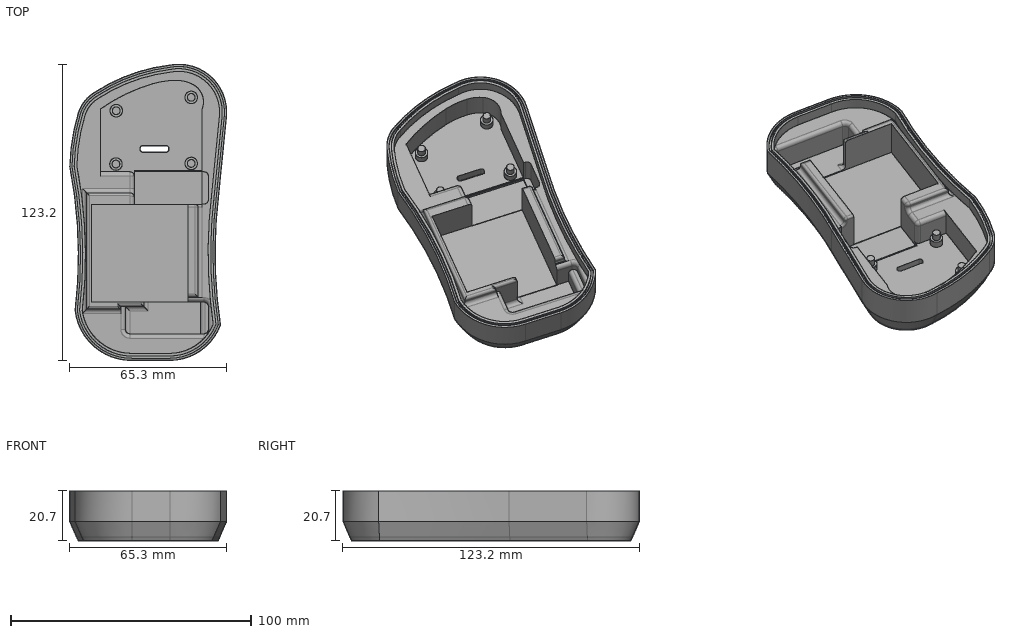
import cadquery as cq
import math

HEIGHT = 20.7
BREAK_Z = 8.0
BAND_Z = 1.5
SHELF_Z = 15.9
BOARD_FLOOR_Z = 4.1
BATTERY_FLOOR_Z = 3.0

STOCK_X = (-37, 37)
STOCK_Y = (-67.8, 67.8)
MARGIN = 0.1

TAPER_INSET = 2.8
BAND_INSET = 0.7
WALL = 3.0
GROOVE_OFFSET = 0.92
GROOVE_WIDTH = 0.92
GROOVE_DEPTH = 1.0

BATTERY_X = (-23.5, 16.5)
BATTERY_Y = (-37.3, 3.2)

RIB_X = (-25.6, 20.7)
RIB_Y = (-40.3, 8.1)
RIB_STEP_X = -11.6
RIB_STEP_Y = -39.2
RIB_END_X = -1.8
RIB_RIGHT_FRONT_Y = -35.2
RIB_HEIGHT = 3.7
RIB_ROUND = 1.2
RIB_FOOT = 1.7
RIB_END_ROUND = 1.0

BOARD_X = (-19.8, 22.4)
BOARD_FRONT_Y = 16.9
BOARD_BACK_Y = 43.0
EDGE_ROUND = 1.8

CONNECTOR_X = -5.8
CONNECTOR_FLOOR_Z = 2.7
CONNECTOR_LIP_Y = 17.4
CONNECTOR_FRONT_Y = 3.5
CONNECTOR_SIDE_X = 25.0
CONNECTOR_LIP_Z = BOARD_FLOOR_Z - 0.2
CONNECTOR_SIDE_Z = BOARD_FLOOR_Z - 0.5

FRONT_BAY_X = (-9.5, 21.7)
FRONT_BAY_Y = (-50.5, BATTERY_Y[0])
FRONT_FLOOR_Z = 3.5
FRONT_LEDGE_X = 25.0
FRONT_LEDGE_Z = 11.3
FRONT_FLOOR_ROUND = 1.8
BAY_CORNER = 1.8

POSTS = [(-13.3, 42.3), (17.9, 47.8), (-13.4, 20.1), (17.9, 20.3)]
POST_RADIUS = 2.6
POST_HEIGHT = 3.0
PIN_RADIUS = 1.6
PIN_HEIGHT = 3.1
SLOT_CENTRE = (2.6, 26.4)
SLOT_SIZE = (11.8, 2.6)
SLOT_CORNER = 1.0


def block(x_range, y_range, z_range):
    """Box spanning the given ranges."""
    size = [b - a for a, b in (x_range, y_range, z_range)]
    corner = (x_range[0], y_range[0], z_range[0])
    return cq.Workplane("XY").box(*size, centered=False).translate(corner)


def outline(inset, z):
    """Plan outline of the shell, moved inwards by inset, at height z."""
    wire = (
        cq.Workplane("XY", origin=(0, 0, z))
        .moveTo(-6.8, -61.6)
        .lineTo(9.0, -61.6)
        .threePointArc((22.3, -57.2), (30.1, -46.8))
        .threePointArc((27.8, -17.1), (29.3, 7.4))
        .lineTo(32.5, 39.7)
        .threePointArc((26.6, 56.0), (8.9, 61.2))
        .threePointArc((-8.9, 56.8), (-22.3, 49.9))
        .threePointArc((-26.5, 46.2), (-29.1, 41.4))
        .threePointArc((-31.5, 30.8), (-32.7, 19.0))
        .threePointArc((-29.1, -17.9), (-30.4, -40.8))
        .threePointArc((-24.5, -53.8), (-6.8, -61.6))
        .close()
    )
    return wire.offset2D(-inset, "intersection") if inset else wire


def shell_body():
    """Solid outer body: upright sides, tapered lower part and chamfered bottom band."""
    upper = outline(0, BREAK_Z).extrude(HEIGHT - BREAK_Z)
    taper = math.degrees(math.atan(TAPER_INSET / (BREAK_Z - BAND_Z)))
    lower = outline(0, BREAK_Z).extrude(BAND_Z - BREAK_Z, taper=taper)
    band_taper = math.degrees(math.atan(BAND_INSET / BAND_Z))
    band = outline(TAPER_INSET, BAND_Z).extrude(-BAND_Z, taper=band_taper)
    return upper.union(lower).union(band)


def rim_groove():
    """Cutter for the groove that runs round the top of the rim."""
    z = HEIGHT - GROOVE_DEPTH
    outer = outline(GROOVE_OFFSET, z).extrude(GROOVE_DEPTH)
    inner = outline(GROOVE_OFFSET + GROOVE_WIDTH, z).extrude(GROOVE_DEPTH)
    return outer.cut(inner)


def fillet_edges(body, radius, x_range, y_range, z_range):
    """Round the edges of body whose centres lie within the given ranges."""
    low, high = zip(x_range, y_range, z_range)
    return body.edges(cq.selectors.BoxSelector(low, high)).fillet(radius)


def near(low, high=None):
    """Range from low to high (or around low alone), widened by a small margin."""
    return (low - MARGIN, (low if high is None else high) + MARGIN)


def rib_prism(z, height):
    """Rib with its inside still filled, open towards the right of the front bay."""
    points = [
        (RIB_X[0], RIB_Y[0]),
        (RIB_STEP_X, RIB_Y[0]),
        (RIB_STEP_X, RIB_STEP_Y),
        (RIB_END_X, RIB_STEP_Y),
        (RIB_END_X, RIB_RIGHT_FRONT_Y),
        (RIB_X[1], RIB_RIGHT_FRONT_Y),
        (RIB_X[1], RIB_Y[1]),
        (RIB_X[0], RIB_Y[1]),
    ]
    return cq.Workplane("XY", origin=(0, 0, z)).polyline(points).close().extrude(height)


def board_bay():
    """Cutter for the board bay, closed at the back by a curve of four arcs."""
    return (
        cq.Workplane("XY", origin=(0, 0, BOARD_FLOOR_Z))
        .moveTo(BOARD_X[0], BOARD_FRONT_Y)
        .lineTo(BOARD_X[0], BOARD_BACK_Y)
        .threePointArc((-9.6, 49.0), (1.8, 53.5))
        .threePointArc((7.0, 54.6), (11.8, 54.8))
        .threePointArc((15.3, 54.5), (18.2, 53.4))
        .threePointArc((22.5, 48.5), (BOARD_X[1], BOARD_BACK_Y))
        .lineTo(BOARD_X[1], BOARD_FRONT_Y)
        .close()
        .extrude(HEIGHT)
    )


def connector_bay():
    """Cutter for the bay joining board and battery: main floor, thin back lip and side pocket."""
    main_x = (CONNECTOR_X, BOARD_X[1])
    main = block(main_x, (BATTERY_Y[1], BOARD_FRONT_Y), (CONNECTOR_FLOOR_Z, HEIGHT))
    lip = block(main_x, (BATTERY_Y[1], CONNECTOR_LIP_Y), (CONNECTOR_LIP_Z, HEIGHT))
    side_x = (CONNECTOR_X, CONNECTOR_SIDE_X)
    side = block(side_x, (CONNECTOR_FRONT_Y, BOARD_FRONT_Y), (CONNECTOR_SIDE_Z, HEIGHT))
    side = side.edges("|Z and >X").fillet(BAY_CORNER)
    return main.union(lip).union(side)


def front_bay_deep():
    """Deep part of the front bay, following the rib and rounded along its floor."""
    left = FRONT_BAY_X[0]
    front, back = FRONT_BAY_Y
    deep = block(FRONT_BAY_X, FRONT_BAY_Y, (FRONT_FLOOR_Z, SHELF_Z)).cut(rib_prism(0, HEIGHT))
    floor_y = (front + MARGIN, back - MARGIN)
    deep = fillet_edges(deep, FRONT_FLOOR_ROUND, near(left, RIB_END_X), floor_y, near(FRONT_FLOOR_Z))
    walls = block(FRONT_BAY_X, FRONT_BAY_Y, (FRONT_FLOOR_Z, SHELF_Z))
    walls = walls.edges("|Z and <X and <Y").fillet(BAY_CORNER)
    return deep.intersect(walls)


def front_bay_mouth():
    """Flared mouth of the front bay, clear of the rib."""
    left = FRONT_BAY_X[0]
    front, back = FRONT_BAY_Y
    hole = block((left, FRONT_LEDGE_X), FRONT_BAY_Y, (FRONT_LEDGE_Z, SHELF_Z))
    hole = hole.edges("|Z").fillet(BAY_CORNER)
    collar = block(STOCK_X, STOCK_Y, (0, SHELF_Z)).cut(hole)
    collar = fillet_edges(
        collar, EDGE_ROUND, near(left, FRONT_LEDGE_X), near(front, back), near(SHELF_Z)
    )
    mouth = block(
        (left - EDGE_ROUND, FRONT_LEDGE_X + EDGE_ROUND),
        (front - EDGE_ROUND, back + EDGE_ROUND),
        (SHELF_Z - EDGE_ROUND, HEIGHT),
    )
    return mouth.cut(collar).cut(rib_prism(0, HEIGHT))


def front_bay():
    """Cutter for the front bay: deep part, shallower side ledge and flared mouth."""
    ledge_x = (RIB_END_X, FRONT_LEDGE_X)
    ledge = block(ledge_x, FRONT_BAY_Y, (FRONT_LEDGE_Z, SHELF_Z))
    ledge = ledge.edges("|Z and >X").fillet(BAY_CORNER)
    return front_bay_deep().union(ledge).union(front_bay_mouth())


def inner_block():
    """Everything inside the wall: shelf, rib and bays, cut from an oversized block."""
    rib_top = SHELF_Z + RIB_HEIGHT
    body = block(STOCK_X, STOCK_Y, (0, SHELF_Z)).union(rib_prism(SHELF_Z, RIB_HEIGHT))
    body = fillet_edges(body, RIB_FOOT, near(*RIB_X), near(*RIB_Y), near(SHELF_Z))
    body = body.faces(">Z").edges().fillet(RIB_ROUND)

    body = body.cut(block(BATTERY_X, BATTERY_Y, (BATTERY_FLOOR_Z, HEIGHT)))
    body = body.cut(board_bay()).cut(connector_bay()).cut(front_bay())

    body = fillet_edges(body, EDGE_ROUND, near(FRONT_BAY_X[1]), FRONT_BAY_Y, near(FRONT_LEDGE_Z))
    board_edge_x = (BOARD_X[0], CONNECTOR_X)
    body = fillet_edges(body, EDGE_ROUND, board_edge_x, near(BOARD_FRONT_Y), near(SHELF_Z))
    rib_end_y = (BATTERY_Y[1], BOARD_FRONT_Y)
    body = fillet_edges(body, EDGE_ROUND, near(CONNECTOR_X), rib_end_y, near(SHELF_Z, rib_top))
    rib_end_x = (BATTERY_X[1], RIB_X[1])
    return fillet_edges(body, RIB_END_ROUND, rib_end_x, near(BATTERY_Y[1]), near(rib_top))


def board_post(x, y):
    """Stepped post: a wide base carrying a locating pin."""
    base = cq.Workplane("XY", origin=(x, y, BOARD_FLOOR_Z)).circle(POST_RADIUS).extrude(POST_HEIGHT)
    return base.faces(">Z").workplane().circle(PIN_RADIUS).extrude(PIN_HEIGHT)


def cable_slot():
    """Cutter for the slot through the board bay floor."""
    slot = cq.Workplane("XY").center(*SLOT_CENTRE).rect(*SLOT_SIZE).extrude(HEIGHT)
    return slot.edges("|Z").fillet(SLOT_CORNER)


cavity = outline(WALL, 0).extrude(HEIGHT).cut(inner_block())
result = shell_body().cut(rim_groove()).cut(cavity)
for post_x, post_y in POSTS:
    result = result.union(board_post(post_x, post_y))
result = result.cut(cable_slot())